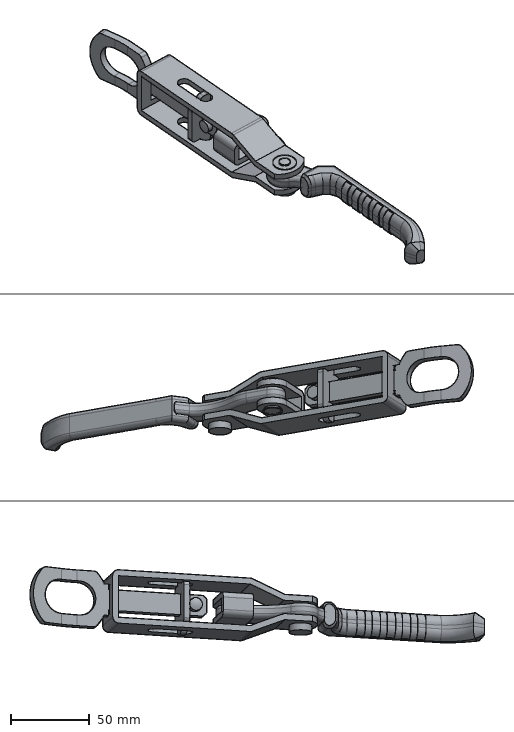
import cadquery as cq
import math

sheet = 4.0

housing_left = 52.0
housing_depth = 25.5
housing_height = 35.0
fold_radius = 4.0
taper_bend_radius = 4.5
taper_start = 143.0
taper_end = 165.2
arm_corner_x = 183.3
arm_tip_x = 189.5
arm_slot_start = 78.5
arm_slot_end = 107.5
slot_width = 8.5
neck_slot_length = 19.3

lever_thickness = 8.8
lever_edge_radius = 2.7
pivot_x = 178.8
pivot_y = 0.0
hub_radius = 11.5
lever_end_radius = 8.2
lever_back_start_x = 149.5
lever_dip = (164.3, 15.7)
lever_saddle = (178.2, 11.8)
lever_shoulder = (192.7, 15.5)
tang_top = (199.5, 22.3)
tang_corner = (203.5, 18.7)
tang_foot = (197.5, 1.0)
lever_throat = (192.0, -1.8)
hub_front_angle = -28.0
hub_rear_angle = -137.0
pin_radius = 3.5
pivot_head_radius = 7.2
pivot_head_height = 4.5
pivot_collar_radius = 7.5
pivot_collar_height = 0.5
pivot_end_height = 1.8
pivot_dome = 0.5

bracket_x = 134.7
bracket_width = 20.0
bracket_pin_y = 12.0
bracket_front_y = -12.5
bracket_end_radius = bracket_width / 2
bracket_fold_radius = 4.2
pin_neck_height = 1.5
pin_rim_radius = 4.5
pin_rim_height = 1.0
pin_foot_radius = 6.3
pin_foot_height = 0.5
pin_foot_neck_radius = 5.0

strap_thickness = 5.0
strap_width = 13.5
strap_end_x = 116.5
strap_chamfer = 2.5
eye_height = 36.5
eye_bend_x = 25.7
eye_bend_length = 11.2
eye_bend_angle = 12.0
eye_left_x = 0.0
eye_arc_radius = 25.0
eye_right_arc_x = 26.3
eye_hole_height = 22.3
eye_hole_left = 8.5
eye_hole_right = 43.5
neck_width = 20.5
eye_corner_radius = 3.5

stud_x = 108.5
stud_radius = 4.2
stud_length = 14.0
stud_dome = 1.0

plate_x = 99.0
plate_depth = 23.0
plate_corner_radius = 2.7
tab_span = 38.5

grip_width = 17.2
grip_back_y = 22.5
grip_belly_y = 13.3
grip_back_radius = 3.0
grip_belly_rise = 4.0
grip_belly_flat = 1.2
grip_bar_start = 213.0
grip_bar_end = 274.8
guard_inset = 1.5
guard_foot_points = ((194.5, -0.3), (201.7, -0.3))
guard_stations = [
    ((194.0, 1.5), (203.0, 1.2)),
    ((194.0, 5.5), (204.2, 3.5)),
    ((194.0, 14.2), (206.0, 8.5)),
    ((201.5, grip_back_y), (209.0, 11.8)),
]
bend_stations = [
    ((283.3, 21.0), (281.0, 11.5)),
    ((291.7, 17.2), (287.0, 7.5)),
    ((299.5, 11.8), (292.5, 1.0)),
]
tip_points = ((302.0, 9.7), (300.8, 4.0))
grip_tip_half_width = 5.0
grip_tip_belly_rise = 1.5
rib_count = 5
rib_pitch = 10.0
first_rib_x = 222.0
rib_width = 5.5
rib_rise = 1.0
rib_inset = 0.3

arm_inner_z = lever_thickness / 2
arm_outer_z = arm_inner_z + sheet
half_height = housing_height / 2
eye_half_height = eye_height / 2
grip_half_width = grip_width / 2
overshoot = 60.5


def z_cylinder(x, y, radius, z_low, z_high):
    return cq.Workplane("XY", origin=(x, y, z_low)).circle(radius).extrude(z_high - z_low)


def block(x_low, x_high, depth, height):
    """Box centred on the XZ plane and the XY plane."""
    return cq.Workplane("XY").box(x_high - x_low, depth, height).translate(((x_low + x_high) / 2, 0, 0))


def domed_shaft(radius, length, dome):
    """Upright shaft standing on the origin; its top is a shallow spherical dome."""
    sphere_radius = (radius**2 + dome**2) / (2 * dome)
    sphere = cq.Workplane("XY").sphere(sphere_radius).translate((0, 0, length - sphere_radius))
    shaft = cq.Workplane("XY").circle(radius).extrude(length)
    return shaft.intersect(sphere)


def make_housing():
    slope = math.atan2(half_height - arm_outer_z, taper_end - taper_start)
    kink_shift = sheet * math.tan(slope / 2)
    outer = [
        (arm_tip_x, arm_outer_z),
        (taper_end, arm_outer_z),
        (taper_start, half_height),
        (housing_left, half_height),
    ]
    inner = [
        (housing_left + sheet, half_height - sheet),
        (taper_start - kink_shift, half_height - sheet),
        (taper_end - kink_shift, arm_inner_z),
        (arm_tip_x, arm_inner_z),
    ]
    upper = outer + [(housing_left, 0), (housing_left + sheet, 0)] + inner
    half = cq.Workplane("XZ").polyline(upper).close().extrude(housing_depth / 2, both=True)
    housing = half.union(half.mirror("XY")).clean()
    housing = housing.edges("|Y").edges("<X").fillet(fold_radius)
    for z in (-half_height, half_height):
        bend_edge = housing.edges(cq.selectors.NearestToPointSelector((taper_start, 0, z)))
        housing = bend_edge.fillet(taper_bend_radius)

    side = housing_depth / 2
    end_outline = (
        cq.Workplane("XY", origin=(0, 0, -overshoot / 2))
        .moveTo(housing_left, -side)
        .lineTo(arm_corner_x, -side)
        .threePointArc((arm_tip_x, 0), (arm_corner_x, side))
        .lineTo(housing_left, side)
        .close()
        .extrude(overshoot)
    )
    housing = housing.intersect(end_outline)

    slot_length = arm_slot_end - arm_slot_start
    arm_slots = (
        cq.Workplane("XY", origin=((arm_slot_start + arm_slot_end) / 2, 0, -overshoot / 2))
        .slot2D(slot_length, slot_width)
        .extrude(overshoot)
    )
    neck_slot = block(housing_left - sheet, housing_left + 2 * sheet, slot_width, neck_slot_length)
    pivot_hole = z_cylinder(pivot_x, pivot_y, pin_radius, -overshoot / 2, overshoot / 2)
    return housing.cut(arm_slots).cut(neck_slot).cut(pivot_hole)


def eye_prism():
    """Flat outline of the eye with its hole, thick enough to be trimmed to the strap."""
    arc_rise = math.sqrt(eye_arc_radius**2 - eye_half_height**2)
    left_centre = eye_left_x + eye_arc_radius
    neck_x = eye_right_arc_x + math.sqrt(eye_arc_radius**2 - (neck_width / 2) ** 2)
    outline = (
        cq.Workplane("XZ")
        .moveTo(left_centre - arc_rise, eye_half_height)
        .lineTo(eye_right_arc_x + arc_rise, eye_half_height)
        .radiusArc((neck_x, neck_width / 2), eye_arc_radius)
        .lineTo(housing_left, neck_width / 2)
        .lineTo(housing_left, -neck_width / 2)
        .lineTo(neck_x, -neck_width / 2)
        .radiusArc((eye_right_arc_x + arc_rise, -eye_half_height), eye_arc_radius)
        .lineTo(left_centre - arc_rise, -eye_half_height)
        .threePointArc((eye_left_x, 0), (left_centre - arc_rise, eye_half_height))
        .close()
        .extrude(overshoot / 2, both=True)
    )
    hole = (
        cq.Workplane("XZ", origin=((eye_hole_left + eye_hole_right) / 2, 0, 0))
        .slot2D(eye_hole_right - eye_hole_left, eye_hole_height)
        .extrude(overshoot / 2, both=True)
    )
    eye_corners = outline.edges("|Y").edges(cq.selectors.BoxSelector(
        (eye_left_x, -overshoot, -overshoot),
        (neck_x - sheet, overshoot, overshoot),
    ))
    outline = eye_corners.fillet(eye_corner_radius)
    return outline.cut(hole)


def make_eye_strap():
    half = strap_thickness / 2
    angle = math.radians(eye_bend_angle)
    bend_radius = eye_bend_length / angle
    bend_start = eye_bend_x + eye_bend_length / 2
    reach = 2 * bend_start

    def on_bend(offset, turn):
        radius = bend_radius + offset
        return (bend_start - radius * math.sin(turn), radius * math.cos(turn) - bend_radius)

    def along_tilt(offset):
        x, y = on_bend(offset, angle)
        return (x - reach * math.cos(angle), y - reach * math.sin(angle))

    flat_part = (
        cq.Workplane("XY", origin=(0, 0, -overshoot / 2))
        .moveTo(housing_left, half)
        .lineTo(bend_start, half)
        .threePointArc(on_bend(half, angle / 4), on_bend(half, angle / 2))
        .lineTo(*on_bend(-half, angle / 2))
        .threePointArc(on_bend(-half, angle / 4), (bend_start, -half))
        .lineTo(housing_left, -half)
        .close()
        .extrude(overshoot)
        .intersect(eye_prism())
    )
    tilted_prism = eye_prism().rotate((eye_bend_x, 0, 0), (eye_bend_x, 0, 1), eye_bend_angle)
    tilted_part = (
        cq.Workplane("XY", origin=(0, 0, -overshoot / 2))
        .moveTo(*on_bend(half, angle / 2))
        .threePointArc(on_bend(half, 3 * angle / 4), on_bend(half, angle))
        .lineTo(*along_tilt(half))
        .lineTo(*along_tilt(-half))
        .lineTo(*on_bend(-half, angle))
        .threePointArc(on_bend(-half, 3 * angle / 4), on_bend(-half, angle / 2))
        .close()
        .extrude(overshoot)
        .intersect(tilted_prism)
    )
    strap = block(housing_left, strap_end_x, strap_thickness, strap_width)
    strap = strap.edges("|Y").edges(">X").chamfer(strap_chamfer)
    stud_hole = (
        cq.Workplane("XZ", origin=(stud_x, 0, 0))
        .circle(stud_radius)
        .extrude(overshoot / 2, both=True)
    )
    return flat_part.union(tilted_part).union(strap).cut(stud_hole)


def make_stop_stud():
    stud = domed_shaft(stud_radius, stud_length, stud_dome)
    return stud.rotate((0, 0, 0), (1, 0, 0), 90).translate((stud_x, stud_length / 2, 0))


def make_guide_plate():
    body = block(plate_x, plate_x + sheet, plate_depth, housing_height - 2 * sheet)
    body = body.edges("|X").fillet(plate_corner_radius)
    tabs = block(plate_x, plate_x + sheet, slot_width, tab_span)
    tabs = tabs.edges("|X").fillet(plate_corner_radius)
    strap_hole = block(plate_x - sheet, plate_x + 2 * sheet, strap_thickness, strap_width)
    return body.union(tabs).cut(strap_hole)


def make_hook_bracket():
    length = bracket_pin_y + bracket_end_radius - bracket_front_y
    centre_y = bracket_front_y + length / 2
    bracket = (
        cq.Workplane("XY", origin=(0, 0, -arm_outer_z))
        .moveTo(bracket_x - bracket_end_radius, bracket_front_y)
        .lineTo(bracket_x + bracket_end_radius, bracket_front_y)
        .lineTo(bracket_x + bracket_end_radius, bracket_pin_y)
        .threePointArc(
            (bracket_x, bracket_pin_y + bracket_end_radius),
            (bracket_x - bracket_end_radius, bracket_pin_y),
        )
        .close()
        .extrude(2 * arm_outer_z)
    )
    bracket = bracket.edges("|X").edges("<Y").fillet(bracket_fold_radius)
    channel = (
        cq.Workplane("XY")
        .box(bracket_width, length, lever_thickness)
        .translate((bracket_x, centre_y + sheet, 0))
    )
    pin_hole = z_cylinder(bracket_x, bracket_pin_y, pin_radius, -overshoot / 2, overshoot / 2)
    return bracket.cut(channel).cut(pin_hole)


def make_bracket_pin():
    def disc(radius, z_low, z_high):
        return z_cylinder(bracket_x, bracket_pin_y, radius, z_low, z_high)

    neck_end = arm_outer_z + pin_neck_height
    pin = disc(pin_radius, -arm_outer_z, neck_end)
    rim = disc(pin_rim_radius, neck_end, neck_end + pin_rim_height)
    foot_neck = disc(pin_foot_neck_radius, -neck_end, -arm_outer_z)
    foot = disc(pin_foot_radius, -neck_end - pin_foot_height, -neck_end)
    return pin.union(rim).union(foot_neck).union(foot)


def on_hub(angle):
    turn = math.radians(angle)
    return (pivot_x + hub_radius * math.cos(turn), pivot_y + hub_radius * math.sin(turn))


def make_lever():
    half = lever_thickness / 2
    end_top = (bracket_x, bracket_pin_y + lever_end_radius)
    end_tip = (bracket_x - lever_end_radius, bracket_pin_y)
    end_bottom = (bracket_x, bracket_pin_y - lever_end_radius)
    rear_turn = math.radians(hub_rear_angle)
    hub_tangent = (math.sin(rear_turn), -math.cos(rear_turn))
    back_points = [lever_dip, lever_saddle, lever_shoulder]
    profile = (
        cq.Workplane("XY", origin=(0, 0, -half))
        .moveTo(*end_bottom)
        .threePointArc(end_tip, end_top)
        .lineTo(lever_back_start_x, end_top[1])
        .spline(back_points, tangents=[(1, 0), (1, 1)], includeCurrent=True)
        .lineTo(*tang_top)
        .lineTo(*tang_corner)
        .lineTo(*tang_foot)
        .threePointArc(lever_throat, on_hub(hub_front_angle))
        .threePointArc(on_hub(-90), on_hub(hub_rear_angle))
        .spline([end_bottom], tangents=[hub_tangent, (-1, 0)], includeCurrent=True)
        .close()
        .extrude(lever_thickness)
    )
    lever = profile.faces("<Z or >Z").edges().fillet(lever_edge_radius)
    for x, y in ((bracket_x, bracket_pin_y), (pivot_x, pivot_y)):
        lever = lever.cut(z_cylinder(x, y, pin_radius, -half, half))
    return lever


def make_pivot_pin():
    def disc(radius, z_low, z_high):
        return z_cylinder(pivot_x, pivot_y, radius, z_low, z_high)

    shank = domed_shaft(pin_radius, 2 * arm_outer_z + pivot_end_height, pivot_dome)
    shank = shank.translate((pivot_x, pivot_y, -arm_outer_z))
    head = disc(pivot_head_radius, -arm_outer_z - pivot_head_height, -arm_outer_z)
    collar = disc(pivot_collar_radius, arm_outer_z, arm_outer_z + pivot_collar_height)
    return shank.union(head).union(collar)


def grip_section(back_point, belly_point, half_width=grip_half_width, belly_rise=grip_belly_rise):
    """Closed wire of the grip between a point on its back and a point on its belly."""
    run_x = back_point[0] - belly_point[0]
    run_y = back_point[1] - belly_point[1]
    depth = math.hypot(run_x, run_y)
    across = cq.Vector(run_x, run_y, 0)
    plane = cq.Plane(cq.Vector(*belly_point, 0), across, across.cross(cq.Vector(0, 0, 1)))
    flat = grip_belly_flat
    radius = grip_back_radius
    middle_rise = belly_rise * (1 - math.sqrt(0.5))
    middle_width = flat + (half_width - flat) * math.sqrt(0.5)
    corner = radius * (1 - math.sqrt(0.5))
    return (
        cq.Workplane(plane)
        .moveTo(0, -flat)
        .lineTo(0, flat)
        .threePointArc((middle_rise, middle_width), (belly_rise, half_width))
        .lineTo(depth - radius, half_width)
        .threePointArc((depth - corner, half_width - corner), (depth, half_width - radius))
        .lineTo(depth, radius - half_width)
        .threePointArc((depth - corner, corner - half_width), (depth - radius, -half_width))
        .lineTo(belly_rise, -half_width)
        .threePointArc((middle_rise, -middle_width), (0, -flat))
        .close()
        .val()
    )


def make_grip(lever):
    bar_start = grip_section((grip_bar_start, grip_back_y), (grip_bar_start, grip_belly_y))
    bar_end = grip_section((grip_bar_end, grip_back_y), (grip_bar_end, grip_belly_y))
    guard_foot = grip_section(*guard_foot_points, grip_half_width - guard_inset)
    guard = [guard_foot] + [grip_section(*points) for points in guard_stations] + [bar_start]
    bend = [bar_end] + [grip_section(*points) for points in bend_stations]
    tip = [bend[-1], grip_section(*tip_points, grip_tip_half_width, grip_tip_belly_rise)]

    grip = cq.Workplane(cq.Solid.makeLoft(guard, True))
    for sections, ruled in (([bar_start, bar_end], True), (bend, False), (tip, True)):
        grip = grip.union(cq.Workplane(cq.Solid.makeLoft(sections, ruled)))

    rib_back_y = grip_back_y - rib_inset
    rib_belly_y = grip_belly_y - rib_rise
    rib_half_width = grip_half_width - rib_inset
    for index in range(rib_count):
        middle = first_rib_x + index * rib_pitch
        rib_ends = [
            grip_section((x, rib_back_y), (x, rib_belly_y), rib_half_width)
            for x in (middle - rib_width / 2, middle + rib_width / 2)
        ]
        grip = grip.union(cq.Workplane(cq.Solid.makeLoft(rib_ends, True)))
    return grip.cut(lever)


housing = make_housing()
eye_strap = make_eye_strap()
stop_stud = make_stop_stud()
guide_plate = make_guide_plate()
hook_bracket = make_hook_bracket()
bracket_pin = make_bracket_pin()
lever = make_lever()
pivot_pin = make_pivot_pin()
grip = make_grip(lever)

result = cq.Compound.makeCompound([
    housing.val(),
    eye_strap.val(),
    stop_stud.val(),
    guide_plate.val(),
    hook_bracket.val(),
    bracket_pin.val(),
    lever.val(),
    pivot_pin.val(),
    grip.val(),
])